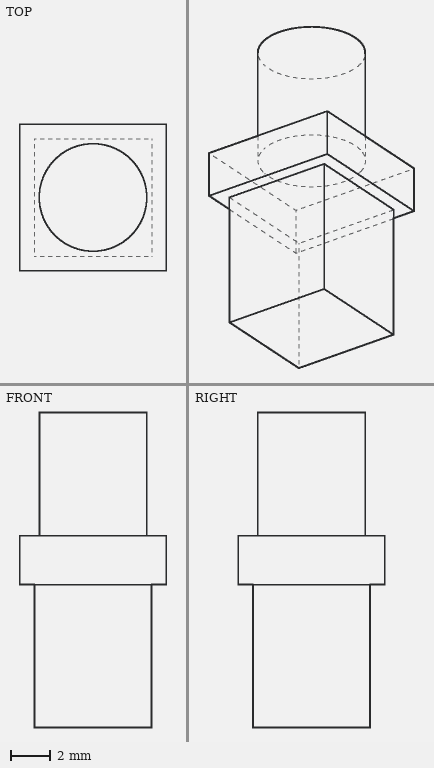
import cadquery as cq

base_width = 6.0
base_height = 7.3
collar_width = 7.5
collar_height = 2.5

plunger_diameter = 5.5
plunger_height = 6.3

collar_bottom = base_height
collar_top = collar_bottom + collar_height


def square_block(width, height, bottom):
    """Square block centred on the Z axis, starting at the given height."""
    return cq.Workplane("XY").workplane(offset=bottom).rect(width, width).extrude(height)


def make_housing():
    """Base and collar in one piece."""
    base = square_block(base_width, base_height, 0)
    collar = square_block(collar_width, collar_height, collar_bottom)
    return base.union(collar)


def make_plunger():
    """Cylinder resting on the flat top of the collar."""
    return (
        cq.Workplane("XY")
        .workplane(offset=collar_top)
        .circle(plunger_diameter / 2)
        .extrude(plunger_height)
    )


housing = make_housing()
plunger = make_plunger()

result = cq.Compound.makeCompound([housing.val(), plunger.val()])